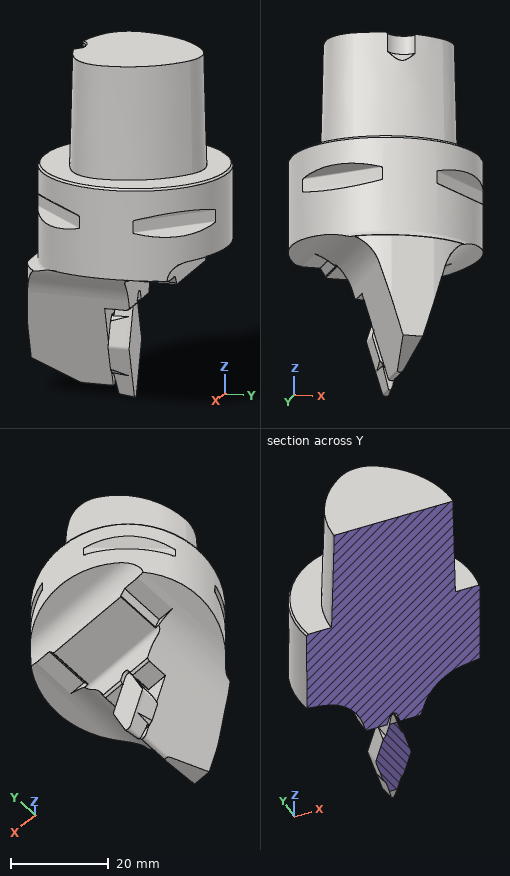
import cadquery as cq
import math


TOTAL_LENGTH = 74

SHANK_LENGTH = 24.0
SHANK_CORNER_REACH = 14.95
SHANK_FLANK_REACH = 13.2
SHANK_CORNER_RADIUS = 8.5
SHANK_TAPER = math.degrees(math.atan(1 / 40))

NOTCH_RADIUS = 3.6
NOTCH_WALL_Y = -10.95
NOTCH_DEPTH = 4.15
NOTCH_CHAMFER = 0.3

FLANGE_DIAMETER = 40.0
FLANGE_RADIUS = FLANGE_DIAMETER / 2
FLANGE_HEIGHT = 20.3
FLANGE_EDGE_DROP = 0.45
FLANGE_EDGE_INSET = 0.4

GROOVE_Z = -8.1
GROOVE_DEPTH = 2.4
GROOVE_FLOOR_HEIGHT = 2.7
GROOVE_MOUTH_HEIGHT = 5.25
GROOVE_FILLET = 0.3
GROOVE_ANGLES = (45, 135, 225, 315)

COLLAR_FILLET = 1.2
COLLAR_LIP_RADIUS = 22.6
COLLAR_LIP_DROP = 0.4
NECK_BACK_Y = -21.8
NECK_FLAT_HALF_WIDTH = 4.45
NECK_RADIUS = 18.1
NECK_EDGE_FILLET = 1.5

WEDGE_HALF_ANGLE = math.radians(17.5)
WEDGE_TOP_HALF_WIDTH = 6.95
WEDGE_TOP_Z = -27.6
WEDGE_ARC_RADIUS = 11.1
SHOULDER_ANGLE = math.radians(8)
WEDGE_TIP_FILLET = 0.6

RELIEF_EDGE_Z = -16.05
RELIEF_ROOT_Z = -16.3
RELIEF_RADIUS = 3.85
RELIEF_WALL_Y = 12.05
PAD_Z = -22.35
PAD_WALL_HEIGHT = 0.4
PAD_HALF_WIDTH = 9.6
PAD_ROOT_HALF_WIDTH = 10.7
HEAD_FRONT_Y = 0.8
HEAD_FILLET = 1.0
HEAD_BOTTOM_Z = -29.8
HEAD_CHAMFER_DROP = 0.4
HEAD_CHAMFER_DEPTH = 0.7
SEAT_Y = -4.6
TIP_Z = -47.9
TIP_BACK_Y = -11.25
HEEL_Z = -42.9

TOOL_END_Z = SHANK_LENGTH - TOTAL_LENGTH
INSERT_HALF_LENGTH = 11.4
INSERT_NOSE_RADIUS = 0.8
INSERT_SIDE_RADIUS = 1.0
INSERT_CLEARANCE = 7
INSERT_THICKNESS = -SEAT_Y
INSERT_LAND_TOP = 0.8
INSERT_LAND_HALF_LENGTH = 6.3
INSERT_LAND_END_ANGLE = math.radians(40)
INSERT_UNDERCUT = 0.45
INSERT_UNDERCUT_ANGLE = math.radians(8)
INSERT_CENTER_Z = TOOL_END_Z + INSERT_HALF_LENGTH

MARGIN = 3.7


def polar(radius, degrees):
    angle = math.radians(degrees)
    return (radius * math.cos(angle), radius * math.sin(angle))


def make_shank():
    """Three-lobed outline of tangent arcs with a corner toward +Y, tapering upward."""
    corner_center = SHANK_CORNER_REACH - SHANK_CORNER_RADIUS
    flank_radius = (
        corner_center**2
        + SHANK_FLANK_REACH**2
        - SHANK_FLANK_REACH * corner_center
        - SHANK_CORNER_RADIUS**2
    ) / (2 * SHANK_FLANK_REACH - 2 * SHANK_CORNER_RADIUS - corner_center)
    center_x, center_y = polar(corner_center, -30)
    flank_center_y = flank_radius - SHANK_FLANK_REACH
    stretch = flank_radius / (flank_radius - SHANK_CORNER_RADIUS)
    joint_x = center_x * stretch
    joint_y = flank_center_y + (center_y - flank_center_y) * stretch
    joint_radius = math.hypot(joint_x, joint_y)
    corner_half_span = -30 - math.degrees(math.atan2(joint_y, joint_x))

    outline = cq.Workplane("XY").moveTo(*polar(joint_radius, -30 - corner_half_span))
    for corner_angle in (-30, 90, 210):
        outline = outline.threePointArc(
            polar(SHANK_CORNER_REACH, corner_angle),
            polar(joint_radius, corner_angle + corner_half_span),
        )
        outline = outline.threePointArc(
            polar(SHANK_FLANK_REACH, corner_angle + 60),
            polar(joint_radius, corner_angle + 120 - corner_half_span),
        )
    return outline.close().extrude(SHANK_LENGTH, taper=SHANK_TAPER)


def make_notch():
    """Vertical round cutter with a 90 degree point and a chamfer at the top face of the shank."""
    return (
        cq.Workplane("XZ")
        .polyline([
            (0, MARGIN),
            (NOTCH_RADIUS + NOTCH_CHAMFER, MARGIN),
            (NOTCH_RADIUS + NOTCH_CHAMFER, 0),
            (NOTCH_RADIUS, -NOTCH_CHAMFER),
            (NOTCH_RADIUS, -NOTCH_DEPTH),
            (0, -NOTCH_DEPTH - NOTCH_RADIUS),
        ])
        .close()
        .revolve(360, (0, 0), (0, 1))
        .translate((0, NOTCH_WALL_Y - NOTCH_RADIUS, SHANK_LENGTH))
    )


def make_flange():
    """Round flange with a small bevel on its top edge."""
    return (
        cq.Workplane("XZ")
        .polyline([
            (0, 0),
            (FLANGE_RADIUS - FLANGE_EDGE_INSET, 0),
            (FLANGE_RADIUS, -FLANGE_EDGE_DROP),
            (FLANGE_RADIUS, -FLANGE_HEIGHT),
            (0, -FLANGE_HEIGHT),
        ])
        .close()
        .revolve(360, (0, 0), (0, 1))
    )


def make_groove():
    """Straight groove cutter with a flat floor and sloping sides, on the +X side of the flange."""
    floor_x = FLANGE_RADIUS - GROOVE_DEPTH
    widening = (GROOVE_MOUTH_HEIGHT - GROOVE_FLOOR_HEIGHT) / 2 / GROOVE_DEPTH
    outer_x = FLANGE_RADIUS + MARGIN
    outer_half_height = GROOVE_FLOOR_HEIGHT / 2 + widening * (outer_x - floor_x)
    return (
        cq.Workplane("XZ")
        .polyline([
            (floor_x, -GROOVE_FLOOR_HEIGHT / 2),
            (outer_x, -outer_half_height),
            (outer_x, outer_half_height),
            (floor_x, GROOVE_FLOOR_HEIGHT / 2),
        ])
        .close()
        .extrude(FLANGE_RADIUS, both=True)
        .edges("<X")
        .fillet(GROOVE_FILLET)
        .translate((0, 0, GROOVE_Z))
    )


def make_neck():
    """Flared collar and neck under the flange: a turned shape trimmed to the neck outline."""
    collar_z = -FLANGE_HEIGHT - COLLAR_FILLET
    turned = (
        cq.Workplane("XZ")
        .moveTo(0, -FLANGE_HEIGHT)
        .lineTo(FLANGE_RADIUS, -FLANGE_HEIGHT)
        .radiusArc((FLANGE_RADIUS + COLLAR_FILLET, collar_z), -COLLAR_FILLET)
        .lineTo(COLLAR_LIP_RADIUS, collar_z - COLLAR_LIP_DROP)
        .lineTo(COLLAR_LIP_RADIUS, TIP_Z)
        .lineTo(0, TIP_Z)
        .close()
        .revolve(360, (0, 0), (0, 1))
    )
    arc_center_y = NECK_BACK_Y + math.sqrt(NECK_RADIUS**2 - NECK_FLAT_HALF_WIDTH**2)
    outline = (
        cq.Workplane("XY")
        .moveTo(-NECK_FLAT_HALF_WIDTH, NECK_BACK_Y)
        .lineTo(NECK_FLAT_HALF_WIDTH, NECK_BACK_Y)
        .radiusArc((NECK_RADIUS, arc_center_y), -NECK_RADIUS)
        .lineTo(NECK_RADIUS, FLANGE_RADIUS)
        .lineTo(-NECK_RADIUS, FLANGE_RADIUS)
        .lineTo(-NECK_RADIUS, arc_center_y)
        .radiusArc((-NECK_FLAT_HALF_WIDTH, NECK_BACK_Y), -NECK_RADIUS)
        .close()
        .extrude(TIP_Z)
        .edges("|Z and <Y")
        .fillet(NECK_EDGE_FILLET)
    )
    return turned.intersect(outline)


def make_wedge():
    """Profile of flange and blade across X, as a prism to trim with."""
    tip_half_width = WEDGE_TOP_HALF_WIDTH - (WEDGE_TOP_Z - TIP_Z) * math.tan(WEDGE_HALF_ANGLE)
    center_x = WEDGE_TOP_HALF_WIDTH + WEDGE_ARC_RADIUS * math.cos(WEDGE_HALF_ANGLE)
    center_z = WEDGE_TOP_Z - WEDGE_ARC_RADIUS * math.sin(WEDGE_HALF_ANGLE)

    def arc_point(normal_angle):
        return (
            center_x - WEDGE_ARC_RADIUS * math.cos(normal_angle),
            center_z + WEDGE_ARC_RADIUS * math.sin(normal_angle),
        )

    arc_end_angle = math.pi / 2 - SHOULDER_ANGLE
    arc_middle = arc_point((WEDGE_HALF_ANGLE + arc_end_angle) / 2)
    arc_end = arc_point(arc_end_angle)
    outer_x = FLANGE_RADIUS + MARGIN
    shoulder_z = arc_end[1] + (outer_x - arc_end[0]) * math.tan(SHOULDER_ANGLE)
    return (
        cq.Workplane("XZ")
        .moveTo(0, TIP_Z)
        .lineTo(tip_half_width, TIP_Z)
        .lineTo(WEDGE_TOP_HALF_WIDTH, WEDGE_TOP_Z)
        .threePointArc(arc_middle, arc_end)
        .lineTo(outer_x, shoulder_z)
        .lineTo(outer_x, 0)
        .lineTo(0, 0)
        .mirrorY()
        .extrude(FLANGE_RADIUS + MARGIN, both=True)
        .edges("|Y and <Z")
        .fillet(WEDGE_TIP_FILLET)
    )


def make_side_outline():
    """Profile of flange, pad, head and blade across Y, as a prism to trim with."""
    relief_center_y = RELIEF_WALL_Y + RELIEF_RADIUS
    relief_center_z = RELIEF_ROOT_Z - RELIEF_RADIUS
    relief_middle = RELIEF_RADIUS * math.sqrt(0.5)
    fillet_middle = HEAD_FILLET * (1 - math.sqrt(0.5))
    back_y = -FLANGE_RADIUS - MARGIN
    heel_z = HEEL_Z + (HEEL_Z - TIP_Z) / (TIP_BACK_Y - NECK_BACK_Y) * (NECK_BACK_Y - back_y)
    return (
        cq.Workplane("YZ")
        .moveTo(back_y, 0)
        .lineTo(FLANGE_RADIUS, 0)
        .lineTo(FLANGE_RADIUS, RELIEF_EDGE_Z)
        .lineTo(relief_center_y, RELIEF_ROOT_Z)
        .threePointArc(
            (relief_center_y - relief_middle, relief_center_z + relief_middle),
            (RELIEF_WALL_Y, relief_center_z),
        )
        .lineTo(RELIEF_WALL_Y, PAD_Z)
        .lineTo(HEAD_FRONT_Y + HEAD_FILLET, PAD_Z)
        .threePointArc(
            (HEAD_FRONT_Y + fillet_middle, PAD_Z - fillet_middle),
            (HEAD_FRONT_Y, PAD_Z - HEAD_FILLET),
        )
        .lineTo(HEAD_FRONT_Y, HEAD_BOTTOM_Z + HEAD_CHAMFER_DROP)
        .lineTo(HEAD_FRONT_Y - HEAD_CHAMFER_DEPTH, HEAD_BOTTOM_Z)
        .lineTo(SEAT_Y, HEAD_BOTTOM_Z)
        .lineTo(SEAT_Y, TIP_Z)
        .lineTo(TIP_BACK_Y, TIP_Z)
        .lineTo(back_y, heel_z)
        .close()
        .extrude(FLANGE_RADIUS + MARGIN, both=True)
    )


def make_pad_shoulders():
    """Cutters that narrow the pad in front of the head: a sloping side above a short wall."""
    start_y = HEAD_FRONT_Y + HEAD_FILLET
    shoulder = (
        cq.Workplane("XZ", origin=(0, start_y, 0))
        .polyline([
            (PAD_HALF_WIDTH, PAD_Z),
            (PAD_HALF_WIDTH, PAD_Z + PAD_WALL_HEIGHT),
            (PAD_ROOT_HALF_WIDTH, -FLANGE_HEIGHT),
            (FLANGE_RADIUS, -FLANGE_HEIGHT),
            (FLANGE_RADIUS, PAD_Z),
        ])
        .close()
        .extrude(start_y - FLANGE_RADIUS)
    )
    return shoulder.union(shoulder.mirror("YZ"))


def rhombus(half_length, half_angle):
    """Corners of a rhombus with its acute corners up and down, closed."""
    half_width = half_length * math.tan(half_angle)
    return [
        (0, -half_length),
        (half_width, 0),
        (0, half_length),
        (-half_width, 0),
        (0, -half_length),
    ]


def insert_sharp_half_length(inset):
    """Half length of the insert to its sharp corners, with the sides moved inward by the inset."""
    nose_overhang = INSERT_NOSE_RADIUS * (1 / math.sin(WEDGE_HALF_ANGLE) - 1)
    return INSERT_HALF_LENGTH + nose_overhang - inset / math.sin(WEDGE_HALF_ANGLE)


def insert_outline(inset=0):
    """Insert outline with rounded corners, its sides moved inward by the inset."""
    return (
        cq.Sketch()
        .polygon(rhombus(insert_sharp_half_length(inset), WEDGE_HALF_ANGLE))
        .vertices("<Y or >Y")
        .fillet(INSERT_NOSE_RADIUS)
        .reset()
        .vertices("<X or >X")
        .fillet(INSERT_SIDE_RADIUS)
        .reset()
    )


def insert_plane(y=0):
    """Work plane facing -Y through the insert's center."""
    return cq.Workplane("XZ", origin=(0, y, INSERT_CENTER_Z))


def make_insert():
    """Rhombic insert with relieved sides, upright side lands with sloping ends, and undercut tips."""
    plate = insert_plane().placeSketch(insert_outline()).extrude(INSERT_THICKNESS, taper=INSERT_CLEARANCE)

    land_inset = INSERT_LAND_TOP * math.tan(math.radians(INSERT_CLEARANCE))
    land_thickness = INSERT_THICKNESS - INSERT_LAND_TOP
    land_end_length = insert_sharp_half_length(land_inset) - INSERT_LAND_HALF_LENGTH
    land_end_x = land_end_length * math.tan(WEDGE_HALF_ANGLE)
    land_trim_length = INSERT_LAND_HALF_LENGTH + land_end_x / math.tan(INSERT_LAND_END_ANGLE)
    lands = (
        insert_plane(-INSERT_LAND_TOP)
        .placeSketch(insert_outline(land_inset))
        .extrude(land_thickness)
        .intersect(
            insert_plane(-INSERT_LAND_TOP)
            .polyline(rhombus(land_trim_length, INSERT_LAND_END_ANGLE))
            .close()
            .extrude(land_thickness, taper=INSERT_CLEARANCE)
        )
    )
    blank = plate.union(lands)

    end_length = INSERT_HALF_LENGTH - INSERT_LAND_HALF_LENGTH
    step_y = SEAT_Y + INSERT_UNDERCUT
    end_y = step_y + end_length * math.tan(INSERT_UNDERCUT_ANGLE)
    undercut = (
        cq.Workplane("YZ")
        .polyline([
            (SEAT_Y, INSERT_LAND_HALF_LENGTH),
            (step_y, INSERT_LAND_HALF_LENGTH),
            (end_y, INSERT_HALF_LENGTH),
            (SEAT_Y, INSERT_HALF_LENGTH),
        ])
        .close()
        .extrude(INSERT_HALF_LENGTH, both=True)
    )
    for end in (undercut, undercut.mirror("XY")):
        blank = blank.cut(end.translate((0, 0, INSERT_CENTER_Z)))
    return blank


def make_insert_pocket():
    """Upright socket for the insert, open at the front of the head."""
    return insert_plane(HEAD_FRONT_Y).placeSketch(insert_outline()).extrude(HEAD_FRONT_Y - SEAT_Y)


def make_holder():
    """Shank, flange and blade as one solid, with grooves and the insert pocket."""
    body = make_flange().union(make_neck())
    body = body.intersect(make_wedge()).intersect(make_side_outline())
    body = body.cut(make_pad_shoulders())
    for angle in GROOVE_ANGLES:
        body = body.cut(make_groove().rotate((0, 0, 0), (0, 0, 1), angle))
    shank = make_shank().cut(make_notch())
    return body.union(shank).cut(make_insert_pocket())


holder = make_holder()
insert = make_insert()

result = cq.Compound.makeCompound([holder.solids().val(), insert.solids().val()])